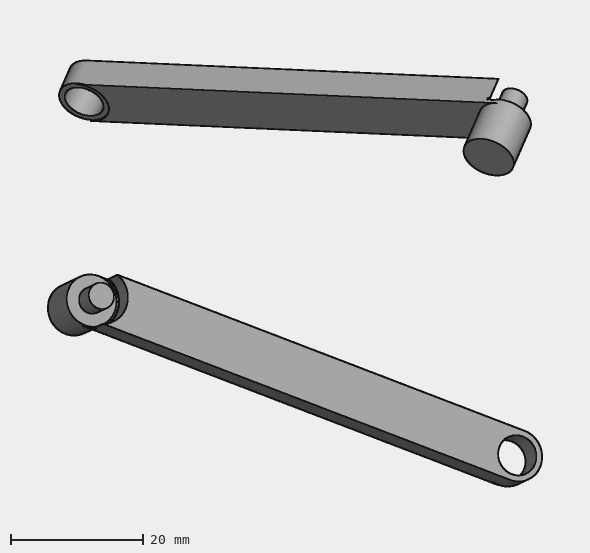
import cadquery as cq
import math

overall_length = 75.0
overall_height = 28.35
overall_depth = 12.5
end_radius = 4.01

arm_thickness = 5.0
eye_recess = 0.2
eye_bore_radius = 3.1

pin_inset = 0.75
lip_thickness = 0.7
clearance_radius = 4.3
undercut_radius = 4.35
undercut_width = 0.4
stub_radius = 2.0

arm_run = overall_length - 2 * end_radius
arm_rise = overall_height - 2 * end_radius
arm_length = math.hypot(arm_run, arm_rise)
arm_angle = math.degrees(math.atan2(arm_rise, arm_run))
arm_front = overall_depth - arm_thickness
eye_front = arm_front + eye_recess
lip_back = arm_front + lip_thickness
pin_back = arm_front + pin_inset


def cylinder(x, radius, front, back):
    """Cylinder along Y, centred at distance x along the untilted arm."""
    return (
        cq.Workplane("XZ", origin=(x, back, 0))
        .circle(radius)
        .extrude(back - front)
    )


def bar(length, front, back):
    """Rectangular bar running along X from the eye axis."""
    size = (length, back - front, 2 * end_radius)
    return cq.Workplane("XY").box(*size, centered=(False, False, True)).translate((0, front, 0))


arm = bar(arm_length, arm_front, overall_depth)
arm = arm.cut(cylinder(arm_length, clearance_radius, lip_back, overall_depth))
arm = arm.cut(cylinder(arm_length, undercut_radius, lip_back, lip_back + undercut_width))

arm = arm.cut(cylinder(0, end_radius, arm_front, eye_front))
arm = arm.union(cylinder(0, end_radius, eye_front, overall_depth))
arm = arm.cut(cylinder(0, eye_bore_radius, arm_front, overall_depth))

pin = cylinder(arm_length, end_radius, 0, pin_back)
stub = cylinder(arm_length, stub_radius, arm_front, overall_depth)

result = arm.union(pin).union(stub).rotate((0, 0, 0), (0, 1, 0), -arm_angle)